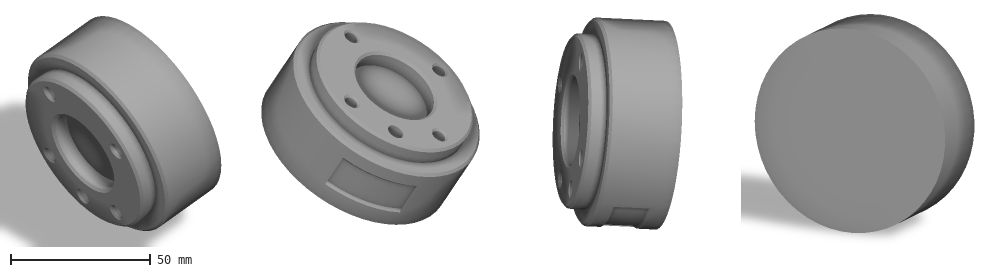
import cadquery as cq
import math

outer_diameter = 75.0
total_length = 33.0
boss_diameter = 63.0
boss_length = 6.5
edge_chamfer = 1.0
flange_length = total_length - boss_length

recess_diameter = 31.5
recess_depth = boss_length

bolt_circle_radius = 25.0
screw_hole_diameter = 5.0
screw_hole_chamfer = 0.75
screw_hole_depth = 12.0
drill_tip_angle = 118.0
screw_hole_angles = [45.0, 135.0, 225.0, 315.0]
pin_hole_diameter = 6.0
pin_hole_chamfer = 0.2
pin_hole_depth = 6.0
pin_hole_angle = 270.0

pocket_width = 30.0
pocket_length = 14.0
pocket_depth = 1.0
pocket_start = 6.5

boss_face_y = -total_length / 2
back_face_y = total_length / 2


def revolve_about_y(profile_points):
    """Revolve a closed (radius, y) profile about the Y axis."""
    profile = cq.Workplane("XY").polyline(profile_points).close()
    return profile.revolve(360, (0, 0, 0), (0, 1, 0))


def chamfered_disc(diameter, length, front_y):
    """Disc along Y whose front (-Y) edge is chamfered."""
    radius = diameter / 2
    return revolve_about_y([
        (0, front_y),
        (radius - edge_chamfer, front_y),
        (radius, front_y + edge_chamfer),
        (radius, front_y + length),
        (0, front_y + length),
    ])


def chamfered_hole(diameter, chamfer, depth, tip_length=0.0):
    """Blind hole cutter entering the boss face on the Y axis; depth excludes the conical tip."""
    radius = diameter / 2
    bottom_y = boss_face_y + depth
    return revolve_about_y([
        (0, boss_face_y),
        (radius + chamfer, boss_face_y),
        (radius, boss_face_y + chamfer),
        (radius, bottom_y),
        (0, bottom_y + tip_length),
    ])


def on_bolt_circle(cutter, angle):
    """Move an on-axis cutter to its place on the bolt circle."""
    x = bolt_circle_radius * math.cos(math.radians(angle))
    z = bolt_circle_radius * math.sin(math.radians(angle))
    return cutter.translate((x, 0, z))


def underside_pocket():
    """Part of a flared ring groove, limited to the pocket width below the axis."""
    outer_radius = outer_diameter / 2
    floor_radius = outer_radius - pocket_depth
    rear_y = back_face_y - pocket_start
    front_y = rear_y - pocket_length
    groove = revolve_about_y([
        (outer_radius, front_y),
        (outer_radius, rear_y),
        (floor_radius, rear_y - pocket_depth),
        (floor_radius, front_y + pocket_depth),
    ])
    limits = cq.Workplane("XY").box(
        pocket_width, total_length, outer_radius, centered=(True, True, False)
    )
    return groove.intersect(limits.translate((0, 0, -outer_radius)))


flange = chamfered_disc(outer_diameter, flange_length, boss_face_y + boss_length)
boss = chamfered_disc(boss_diameter, total_length, boss_face_y)
result = flange.union(boss)

result = result.cut(chamfered_hole(recess_diameter, edge_chamfer, recess_depth))

screw_tip_length = screw_hole_diameter / 2 / math.tan(math.radians(drill_tip_angle / 2))
screw_hole = chamfered_hole(screw_hole_diameter, screw_hole_chamfer, screw_hole_depth, screw_tip_length)
for hole_angle in screw_hole_angles:
    result = result.cut(on_bolt_circle(screw_hole, hole_angle))

pin_hole = chamfered_hole(pin_hole_diameter, pin_hole_chamfer, pin_hole_depth)
result = result.cut(on_bolt_circle(pin_hole, pin_hole_angle))

result = result.cut(underside_pocket())